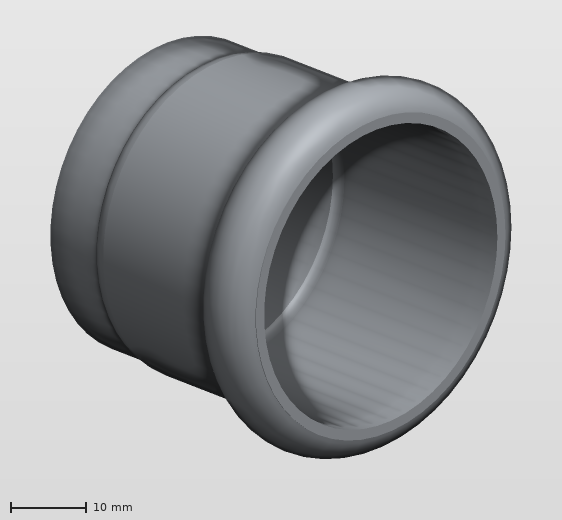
import cadquery as cq
import math

total_length = 41.0
spigot_outer_radius = 44.0 / 2
spigot_bore_radius = 41.0 / 2
body_outer_radius = 45.4 / 2
body_bore_radius = 42.4 / 2
bead_outer_radius = 52.7 / 2
bead_width = 9.15
shoulder_start = 9.0
shoulder_length = 2.05

shoulder_end = shoulder_start + shoulder_length
bead_start = total_length - bead_width
bead_round = bead_width / 2
bead_middle = total_length - bead_round
bead_round_start = bead_outer_radius - bead_round

shoulder_rise = body_outer_radius - spigot_outer_radius
shoulder_round = (shoulder_length**2 + shoulder_rise**2) / (2 * shoulder_rise)
shoulder_centre_radius = body_outer_radius - shoulder_round
inner_round = body_bore_radius - shoulder_centre_radius
inner_start_height = spigot_bore_radius - shoulder_centre_radius
inner_shoulder_start = shoulder_end - math.sqrt(inner_round**2 - inner_start_height**2)


def turn(profile):
    """Revolve a closed (x, radius) profile about the X axis."""
    return profile.close().revolve(360, (0, 0, 0), (1, 0, 0))


tube = turn(
    cq.Workplane("XY")
    .moveTo(0, spigot_bore_radius)
    .lineTo(0, spigot_outer_radius)
    .lineTo(shoulder_start, spigot_outer_radius)
    .radiusArc((shoulder_end, body_outer_radius), shoulder_round)
    .lineTo(total_length, body_outer_radius)
    .lineTo(total_length, body_bore_radius)
    .lineTo(shoulder_end, body_bore_radius)
    .radiusArc((inner_shoulder_start, spigot_bore_radius), -inner_round)
)

bead = turn(
    cq.Workplane("XY")
    .moveTo(bead_start, body_bore_radius)
    .lineTo(bead_start, bead_round_start)
    .threePointArc((bead_middle, bead_outer_radius), (total_length, bead_round_start))
    .lineTo(total_length, body_bore_radius)
)

result = tube.union(bead)